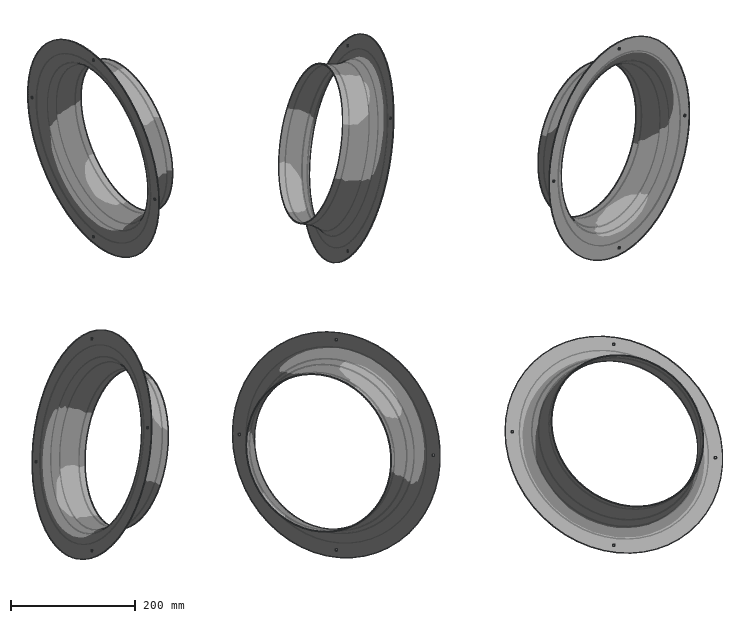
import cadquery as cq
import math

flange_radius = 185.0
depth = 66.0
wall = 1.5
throat_radius = 128.5

bends = [(81.5, 23.5), (66.5, 36.0), (23.0, 90.0)]

hole_diameter = 4.0
hole_circle_radius = 172.8
hole_count = 4


def bend_step(bend_radius, start, end):
    """Radial growth and axial drop along a bend between two slopes."""
    start, end = math.radians(start), math.radians(end)
    growth = bend_radius * (math.cos(start) - math.cos(end))
    drop = bend_radius * (math.sin(end) - math.sin(start))
    return growth, drop


def bend_arcs(offset):
    """Middle and end points of each bend, with the wall surface moved outward by offset."""
    radius = throat_radius + offset
    height = bend_start
    arcs = []
    start = 0.0
    for inner_bend_radius, end in bends:
        bend_radius = inner_bend_radius - offset
        points = []
        for slope in ((start + end) / 2, end):
            growth, drop = bend_step(bend_radius, start, slope)
            points.append((radius + growth, height - drop))
        arcs.append(points)
        radius, height = points[-1]
        start = end
    return arcs


slopes = [0.0] + [end for _, end in bends]
bend_start = sum(bend_step(bend[0], start, bend[1])[1] for bend, start in zip(bends, slopes))


def make_bell():
    inner_arcs = bend_arcs(0.0)
    outer_arcs = bend_arcs(wall)
    profile = cq.Workplane("XY").moveTo(throat_radius, depth).lineTo(throat_radius, bend_start)
    for middle, end in inner_arcs:
        profile = profile.threePointArc(middle, end)
    profile = profile.lineTo(flange_radius, 0).lineTo(flange_radius, wall)

    profile = profile.lineTo(*outer_arcs[-1][1])
    arc_starts = [(throat_radius + wall, bend_start)] + [end for _, end in outer_arcs[:-1]]
    for (middle, _), arc_start in zip(reversed(outer_arcs), reversed(arc_starts)):
        profile = profile.threePointArc(middle, arc_start)
    profile = profile.lineTo(throat_radius + wall, depth).close()
    return profile.revolve(360, (0, 0, 0), (0, 1, 0))


def make_flange_holes():
    return (
        cq.Workplane("XZ")
        .polarArray(hole_circle_radius, 0, 360, hole_count)
        .circle(hole_diameter / 2)
        .extrude(-wall)
    )


result = make_bell().cut(make_flange_holes())